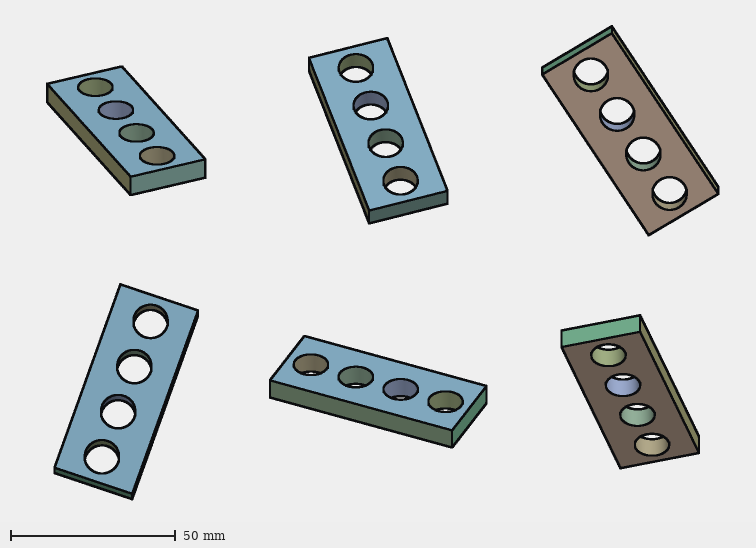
import cadquery as cq

length = 61.0
width = 25.0
thickness = 6.5

hole_count = 4
hole_diameter = 10.5
hole_pitch = 15.0

plate = cq.Workplane("XY").box(length, width, thickness)

result = (
    plate.faces(">Z")
    .workplane()
    .rarray(hole_pitch, hole_pitch, hole_count, 1)
    .hole(hole_diameter)
)